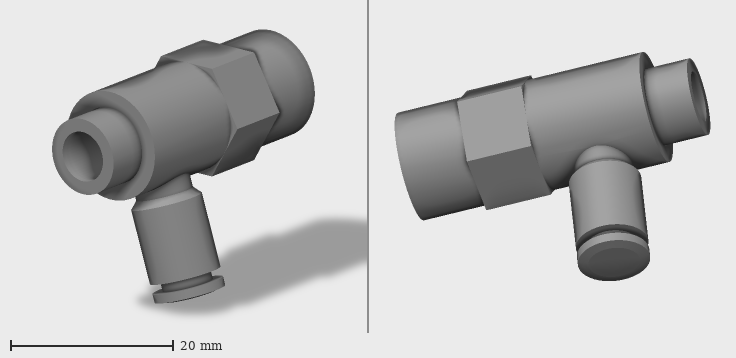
import cadquery as cq

sleeve_front = 5.5
hex_front = 20.42
hex_back = 28.7
overall_length = 37.2
branch_station = 13.0

spindle_diameter = 9.75
stem_bore_diameter = 6.4
shank_diameter = 13.7
hex_across_flats = 14.0
hex_corner_diameter = hex_across_flats / (3 ** 0.5 / 2)
stem_bore_depth = hex_front

sleeve_diameter = hex_across_flats
sleeve_bore_diameter = 9.9

branch_angle = 18.2
neck_radius = 7.2 / 2
barrel_radius = 9.0 / 2
groove_radius = 6.4 / 2
shoulder_start = 8.05
barrel_start = 9.0
barrel_end = 18.5
ring_start = 19.75
ring_end = 20.87
ring_bevel_height = 0.25
ring_face_radius = groove_radius


def cylinder_along_y(diameter, start, end):
    """Cylinder centred on the Y axis between two stations."""
    return cq.Workplane("XZ", origin=(0, start, 0)).circle(diameter / 2).extrude(start - end)


def make_stem():
    spindle = cylinder_along_y(spindle_diameter, 0, hex_front)
    hexagon = (
        cq.Workplane("XZ", origin=(0, hex_front, 0))
        .polygon(6, hex_corner_diameter)
        .extrude(hex_front - hex_back)
    )
    shank = cylinder_along_y(shank_diameter, hex_back, overall_length)
    bore = cylinder_along_y(stem_bore_diameter, 0, stem_bore_depth)
    return spindle.union(hexagon).union(shank).cut(bore)


def make_branch():
    """Turned tube connector, revolved pointing down and then tilted."""
    profile = [
        (0, 0),
        (neck_radius, 0),
        (neck_radius, -shoulder_start),
        (barrel_radius, -barrel_start),
        (barrel_radius, -barrel_end),
        (groove_radius, -barrel_end),
        (groove_radius, -ring_start),
        (barrel_radius, -ring_start),
        (barrel_radius, -ring_end),
        (ring_face_radius, -ring_end - ring_bevel_height),
        (0, -ring_end - ring_bevel_height),
    ]
    upright = cq.Workplane("XZ").polyline(profile).close().revolve(360, (0, 0), (0, 1))
    tilted = upright.rotate((0, 0, 0), (0, 1, 0), -branch_angle)
    return tilted.translate((0, branch_station, 0))


def make_sleeve():
    barrel = cylinder_along_y(sleeve_diameter, sleeve_front, hex_front)
    bore = cylinder_along_y(sleeve_bore_diameter, sleeve_front, hex_front)
    return barrel.union(make_branch()).cut(bore)


stem = make_stem()
sleeve = make_sleeve()
result = cq.Compound.makeCompound([stem.val(), sleeve.val()])